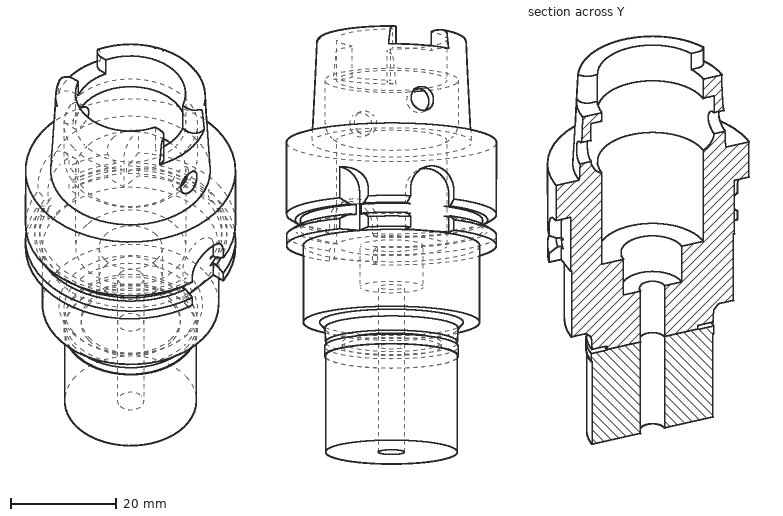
import cadquery as cq
total_height = 80.0
flange_top_z = 60.0
flange_bottom_z = 40.0
flange_radius = 20.0

shank_base_radius = 15.2
shank_tip_radius = 14.2
tip_fillet = 0.8

groove_mid_z = 44.0
groove_mouth_width = 4.0
groove_floor_width = 1.9
groove_flank_radius = 18.3
groove_floor_radius = 17.4

body_radius = 16.8
body_bottom_z = 25.1
collar_top_radius = 13.7
collar_mid_z = 24.0
collar_mid_radius = 12.7
collar_bottom_z = 21.3
collar_bottom_radius = 12.6
neck_radius = 9.4

nut_top_z = 20.5
nut_rim_radius = 12.7
nut_rim_bottom_z = 18.6
nut_radius = 12.6

main_bore_radius = 10.5
mouth_depth = 8.0
chamber_radius = 12.7
chamber_fillet = 4.0
chamber_floor_z = flange_top_z
lower_bore_floor_z = flange_bottom_z
counterbore_radius = 6.0
counterbore_depth = 8.0
through_hole_radius = 2.5

cross_hole_radius = 2.3
cross_hole_z = 65.9

tip_slot_half_width = 4.0
tip_slot_round = 2.0
tongue_half_length = 13.0
left_slot_floor_z = 76.4
right_slot_floor_z = 74.0

flange_slot_width = 9.0
flange_slot_top_z = 52.0
drive_slot_floor_spacing = 34.0
side_slot_floor_x = 12.0
side_slot_y = 16.3


def cylinder(radius, bottom_z, top_z):
    return cq.Workplane("XY").workplane(offset=bottom_z).circle(radius).extrude(top_z - bottom_z)


def revolve_profile(points):
    """Revolve an outline of (radius, z) points around the Z axis."""
    return cq.Workplane("YZ").polyline(points).close().revolve(360, (0, 0), (0, 1))


def make_chuck_blank():
    outline = [
        (0, nut_top_z),
        (neck_radius, nut_top_z),
        (neck_radius, collar_bottom_z),
        (collar_bottom_radius, collar_bottom_z),
        (collar_mid_radius, collar_mid_z),
        (collar_top_radius, body_bottom_z),
        (body_radius, body_bottom_z),
        (body_radius, flange_bottom_z),
        (flange_radius, flange_bottom_z),
        (flange_radius, groove_mid_z - groove_mouth_width / 2),
        (groove_flank_radius, groove_mid_z - groove_floor_width / 2),
        (groove_floor_radius, groove_mid_z - groove_floor_width / 2),
        (groove_floor_radius, groove_mid_z + groove_floor_width / 2),
        (groove_flank_radius, groove_mid_z + groove_floor_width / 2),
        (flange_radius, groove_mid_z + groove_mouth_width / 2),
        (flange_radius, flange_top_z),
        (shank_base_radius, flange_top_z),
        (shank_tip_radius, total_height),
        (0, total_height),
    ]
    return revolve_profile(outline).faces(">Z").edges().fillet(tip_fillet)


def make_bores():
    main_bore = cylinder(main_bore_radius, lower_bore_floor_z, total_height)
    chamber = cylinder(chamber_radius, chamber_floor_z, total_height - mouth_depth)
    chamber = chamber.faces("<Z").edges().fillet(chamber_fillet)
    counterbore = cylinder(counterbore_radius, lower_bore_floor_z - counterbore_depth, lower_bore_floor_z)
    through_hole = cylinder(through_hole_radius, nut_top_z, lower_bore_floor_z)
    return main_bore.union(chamber).union(counterbore).union(through_hole)


def make_cross_hole():
    return (
        cq.Workplane("YZ")
        .center(0, cross_hole_z)
        .circle(cross_hole_radius)
        .extrude(flange_radius, both=True)
    )


def make_tip_slot(side, floor_z):
    """Slot on the +X (side = 1) or -X (side = -1) half, flaring outward with rounded corners."""
    round_start_x = tongue_half_length - tip_slot_round
    flare_y = tip_slot_half_width + tip_slot_round
    half_slot = (
        cq.Workplane("XY")
        .workplane(offset=floor_z)
        .moveTo(0, 0)
        .lineTo(0, tip_slot_half_width)
        .lineTo(side * round_start_x, tip_slot_half_width)
        .radiusArc((side * tongue_half_length, flare_y), -side * tip_slot_round)
        .lineTo(side * tongue_half_length, flange_radius)
        .lineTo(side * flange_radius, flange_radius)
        .lineTo(side * flange_radius, 0)
        .close()
        .extrude(total_height - floor_z)
    )
    return half_slot.union(half_slot.mirror("XZ"))


def make_flange_slot(side, floor_x, center_y):
    """Slot with a round upper end, cut along X from the rim in to floor_x and open below."""
    half_width = flange_slot_width / 2
    arc_center_z = flange_slot_top_z - half_width
    return (
        cq.Workplane("YZ")
        .workplane(offset=side * floor_x)
        .moveTo(center_y - half_width, flange_bottom_z)
        .lineTo(center_y - half_width, arc_center_z)
        .threePointArc((center_y, flange_slot_top_z), (center_y + half_width, arc_center_z))
        .lineTo(center_y + half_width, flange_bottom_z)
        .close()
        .extrude(side * (flange_radius - floor_x))
    )


def make_chuck():
    chuck = make_chuck_blank().cut(make_bores()).cut(make_cross_hole())
    for side, floor_z in ((-1, left_slot_floor_z), (1, right_slot_floor_z)):
        chuck = chuck.cut(make_tip_slot(side, floor_z))
        chuck = chuck.cut(make_flange_slot(side, drive_slot_floor_spacing / 2, 0))
    return chuck.cut(make_flange_slot(-1, side_slot_floor_x, side_slot_y))


def make_nut():
    outline = [
        (through_hole_radius, 0),
        (nut_radius, 0),
        (nut_radius, nut_rim_bottom_z),
        (nut_rim_radius, nut_rim_bottom_z),
        (nut_rim_radius, nut_top_z),
        (through_hole_radius, nut_top_z),
    ]
    return revolve_profile(outline)


chuck = make_chuck()
nut = make_nut()
result = cq.Compound.makeCompound([chuck.val(), nut.val()])